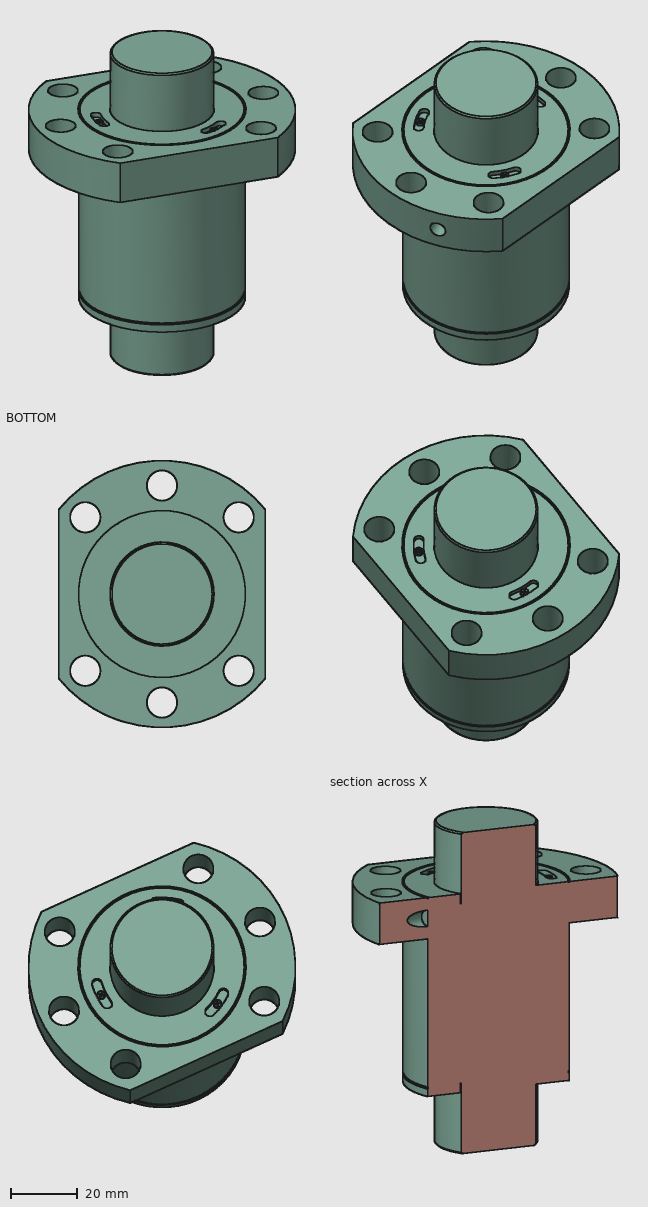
import cadquery as cq
import math

shaft_diameter = 31
shaft_length = 100
shaft_chamfer = 0.5

clearance_diameter = 31.2
clearance_depth = 3

shaft_overhang = 19
body_diameter = 50
body_top = shaft_length / 2 - shaft_overhang
body_bottom = -body_top
flange_diameter = 80
flange_width = 62
flange_thickness = 13

groove_width = 0.6
groove_depth = groove_width / 2
top_groove_radius = 24.9
wiper_lip = 2.7

mounting_hole_diameter = 9
mounting_circle_radius = 32.5
mounting_angles = (45, 90, 135, 225, 270, 315)

oil_hole_diameter = 4.9
oil_hole_depth = 15
oil_hole_angle = 112.5

slot_angles = (30, 150, 270)
slot_radius = 20.2
slot_width = 3
slot_depth = 1.5
slot_half_angle = 10
pin_diameter = 2.4
pin_height = 0.9
pin_cross_width = 0.3
pin_cross_depth = 0.2
pin_cross_turn = 45


def cylinder(diameter, bottom, height):
    return cq.Workplane("XY").workplane(offset=bottom).circle(diameter / 2).extrude(height)


def polar(radius, angle):
    turn = math.radians(angle)
    return radius * math.cos(turn), radius * math.sin(turn)


def make_shaft():
    shaft = cylinder(shaft_diameter, -shaft_length / 2, shaft_length)
    return shaft.faces("<Z or >Z").chamfer(shaft_chamfer)


def make_flange():
    bottom = body_top - flange_thickness
    disc = cylinder(flange_diameter, bottom, flange_thickness)
    plane = cq.Workplane("XY").workplane(offset=bottom)
    flats = plane.rect(flange_width, flange_diameter).extrude(flange_thickness)
    return disc.intersect(flats)


def make_groove(points):
    """Turn a V-shaped section, given as (radius, z) points, about the shaft axis."""
    return cq.Workplane("XZ").polyline(points).close().revolve(360, (0, 0), (0, 1))


def make_top_groove():
    return make_groove([
        (top_groove_radius - groove_width / 2, body_top),
        (top_groove_radius + groove_width / 2, body_top),
        (top_groove_radius, body_top - groove_depth),
    ])


def make_side_groove():
    outer = body_diameter / 2
    centre = body_bottom + wiper_lip
    return make_groove([
        (outer, centre - groove_width / 2),
        (outer, centre + groove_width / 2),
        (outer - groove_depth, centre),
    ])


def make_clearance(bottom):
    return cylinder(clearance_diameter, bottom, clearance_depth).cut(make_shaft())


def make_mounting_holes():
    centres = [polar(mounting_circle_radius, angle) for angle in mounting_angles]
    plane = cq.Workplane("XY").workplane(offset=body_top - flange_thickness)
    return plane.pushPoints(centres).circle(mounting_hole_diameter / 2).extrude(flange_thickness)


def make_oil_hole():
    x, y = polar(1, oil_hole_angle)
    start_x, start_y = polar(flange_diameter / 2, oil_hole_angle)
    start = cq.Vector(start_x, start_y, body_top - flange_thickness / 2)
    hole = cq.Solid.makeCylinder(oil_hole_diameter / 2, oil_hole_depth, start, cq.Vector(-x, -y, 0))
    return cq.Workplane(hole)


def make_slot():
    """Curved slot centred on the +X axis, with its pin left standing on the floor."""
    inner = slot_radius - slot_width / 2
    outer = slot_radius + slot_width / 2
    floor = body_top - slot_depth
    slot = (
        cq.Workplane("XY").workplane(offset=floor)
        .moveTo(*polar(inner, -slot_half_angle))
        .threePointArc((inner, 0), polar(inner, slot_half_angle))
        .tangentArcPoint(polar(outer, slot_half_angle), relative=False)
        .threePointArc((outer, 0), polar(outer, -slot_half_angle))
        .tangentArcPoint(polar(inner, -slot_half_angle), relative=False)
        .close().extrude(slot_depth)
    )
    pin = cylinder(pin_diameter, floor, pin_height)
    for turn in (pin_cross_turn, pin_cross_turn + 90):
        bar = cq.Workplane("XY").box(pin_diameter, pin_cross_width, pin_cross_depth)
        bar = bar.translate((0, 0, floor + pin_height - pin_cross_depth / 2))
        pin = pin.cut(bar.rotate((0, 0, 0), (0, 0, 1), turn))
    return slot.cut(pin.translate((slot_radius, 0, 0)))


result = cylinder(body_diameter, body_bottom, body_top - body_bottom)
result = result.union(make_flange()).union(make_shaft())
result = result.cut(make_top_groove()).cut(make_side_groove())
result = result.cut(make_clearance(body_top - clearance_depth)).cut(make_clearance(body_bottom))
result = result.cut(make_mounting_holes()).cut(make_oil_hole())
for slot_angle in slot_angles:
    result = result.cut(make_slot().rotate((0, 0, 0), (0, 0, 1), slot_angle))